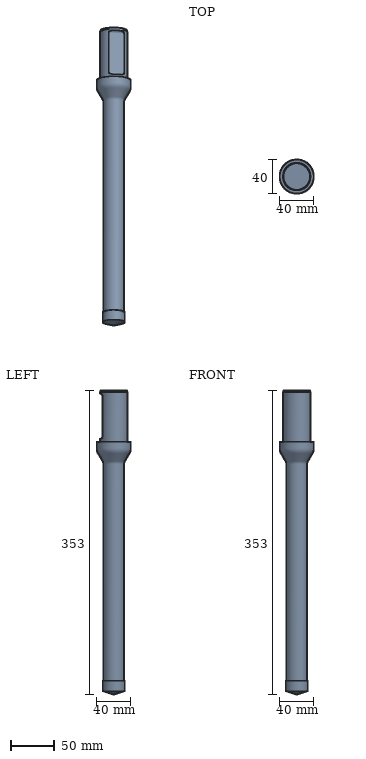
import cadquery as cq
import math

total_length = 353.0
tip_height = 4.2
head_top = 16.0
collar_top = 293.5

head_diameter = 25.8
rod_diameter = 24.5
collar_diameter = 40.0
shank_diameter = 32.0

taper_start = 269.5
taper_half_angle = 30.0
rod_blend_radius = 6.0
collar_blend_radius = 10.0

chamfer_width = 0.7
chamfer_height = 2.0
flat_depth = 3.0
flat_end_radius = 3.0
flat_end_gap = 3.5


def make_tapered_collar():
    """Rod and collar as one turned shape, with rounded ends on the taper."""
    rod_radius = rod_diameter / 2
    collar_radius = collar_diameter / 2
    angle = math.radians(taper_half_angle)
    taper_end = taper_start + (collar_radius - rod_radius) / math.tan(angle)

    lower = rod_blend_radius * math.tan(angle / 2)
    upper = collar_blend_radius * math.tan(angle / 2)

    mid_radial = 1 - math.cos(angle / 2)
    mid_axial = math.sin(angle / 2)
    lower_mid = (
        rod_radius + rod_blend_radius * mid_radial,
        taper_start - lower + rod_blend_radius * mid_axial,
    )
    upper_mid = (
        collar_radius - collar_blend_radius * mid_radial,
        taper_end + upper - collar_blend_radius * mid_axial,
    )
    lower_end = (rod_radius + lower * math.sin(angle), taper_start + lower * math.cos(angle))
    upper_start = (collar_radius - upper * math.sin(angle), taper_end - upper * math.cos(angle))

    return (
        cq.Workplane("XZ")
        .moveTo(0, head_top)
        .lineTo(rod_radius, head_top)
        .lineTo(rod_radius, taper_start - lower)
        .threePointArc(lower_mid, lower_end)
        .lineTo(*upper_start)
        .threePointArc(upper_mid, (collar_radius, taper_end + upper))
        .lineTo(collar_radius, collar_top)
        .lineTo(0, collar_top)
        .close()
        .revolve(360, (0, 0, 0), (0, 1, 0))
    )


def make_shank():
    """Plain cylinder above the collar, chamfered at its free end."""
    return (
        cq.Workplane("XY", origin=(0, 0, collar_top))
        .circle(shank_diameter / 2)
        .extrude(total_length - collar_top)
        .faces(">Z")
        .edges()
        .chamfer(chamfer_height, chamfer_width)
    )


def make_flat_cutter():
    """Block that mills the flat, leaving a concave quarter round at each end."""
    flat_top = total_length - flat_end_gap
    flat_bottom = collar_top + flat_end_gap
    flat_y = shank_diameter / 2 - flat_depth
    return (
        cq.Workplane("XY", origin=(0, 0, flat_bottom))
        .box(shank_diameter, shank_diameter, flat_top - flat_bottom, centered=(True, False, False))
        .translate((0, flat_y, 0))
        .faces("<Y")
        .edges("|X")
        .fillet(flat_end_radius)
    )


def make_body():
    """Rod, collar and shank in one piece."""
    return make_tapered_collar().union(make_shank()).cut(make_flat_cutter())


def make_head():
    """Short cylindrical cutting head with a conical point."""
    head_radius = head_diameter / 2
    return (
        cq.Workplane("XZ")
        .polyline([(0, 0), (head_radius, tip_height), (head_radius, head_top), (0, head_top)])
        .close()
        .revolve(360, (0, 0, 0), (0, 1, 0))
    )


body = make_body()
head = make_head()
result = cq.Compound.makeCompound([body.val(), head.val()])